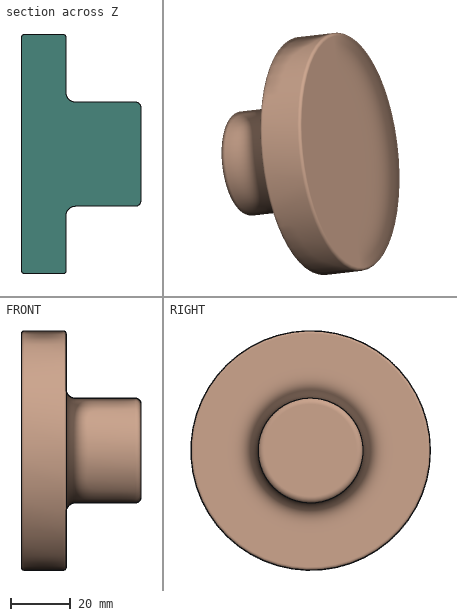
import cadquery as cq

total_length = 40.0
disc_diameter = 80.0
disc_thickness = 15.0
disc_edge_radius = 1.0
hub_diameter = 35.0
hub_root_radius = 3.0
hub_end_radius = 2.0


def make_disc():
    """Flat disc with both rims rounded."""
    disc = cq.Workplane("YZ").circle(disc_diameter / 2).extrude(disc_thickness)
    return disc.edges().fillet(disc_edge_radius)


def add_hub(body):
    """Round hub on the +X face of the disc, with a rounded free end."""
    hub_length = total_length - disc_thickness
    hub = (
        cq.Workplane("YZ")
        .workplane(offset=disc_thickness)
        .circle(hub_diameter / 2)
        .extrude(hub_length)
        .faces(">X")
        .edges()
        .fillet(hub_end_radius)
    )
    return body.union(hub)


def blend_hub_root(body):
    """Concave fillet where the hub meets the disc."""
    root_edge = cq.selectors.BoxSelector(
        (disc_thickness - hub_root_radius / 2, -hub_diameter, -hub_diameter),
        (disc_thickness + hub_root_radius / 2, hub_diameter, hub_diameter),
        boundingbox=True,
    )
    return body.edges(root_edge).fillet(hub_root_radius)


result = blend_hub_root(add_hub(make_disc()))